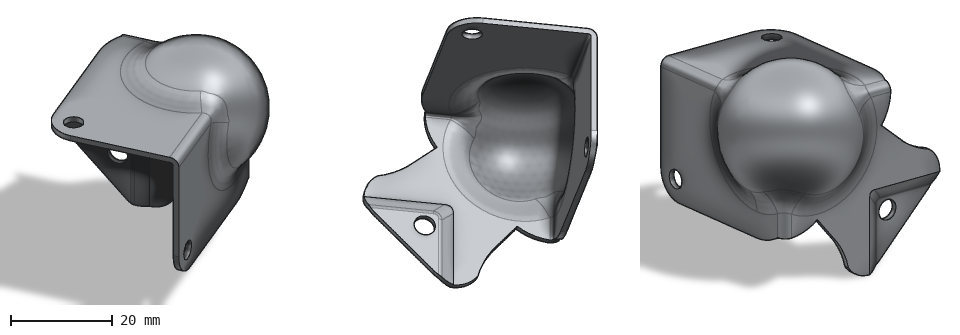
import cadquery as cq
import math

sheet = 1.2
ball_radius = 14.45
wall_face = 8.5
bend_radius = 1.95
flare_radius = 7.15

wall_front = -30.52
wall_edge = -20.5
wall_corner = 6.0
wall_hole_radius = 2.0
wall_hole_front = -25.8
wall_hole_edge = -15.7
bend_start = wall_face - bend_radius
shoulder_edge = -18.45
shoulder_middle = (-20.0, 3.25)

neck_edge = -16.1
neck_bulge = (-17.75, 3.15)
neck_end = (-20.6, -3.8)
neck_middle = (-24.1, -6.3)
foot_radius = 6.0
foot_center = (-24.75, -12.8)
foot_neck_angle = math.radians(124)
foot_cut_angle = math.radians(225)

tab_corner = -12.8
tab_step = 1.67
tab_slope = 30.0
tab_ridge_radius = 3.6
tab_bend_radius = 1.5
tab_hole_radius = 2.13
tab_hole_place = -18.9

reach = 49.75
cap_limit = 18.1

side_plane = cq.Plane(origin=(bend_start, 0, 0), xDir=(0, 0, 1), normal=(-1, 0, 0))
back_plane = cq.Plane(origin=(0, bend_start, 0), xDir=(1, 0, 0), normal=(0, -1, 0))
top_plane = cq.Plane(origin=(0, 0, bend_start), xDir=(1, 0, 0), normal=(0, 0, 1))
depth = cap_limit - bend_start


def corner_with_ball(inset):
    """Rounded box corner blended into the ball, with every face moved inward by inset."""
    corner = cq.Workplane("XY").box(reach, reach, reach, centered=False)
    corner = corner.translate((wall_face - inset - reach,) * 3)
    corner = corner.edges("(>X and >Y) or (>X and >Z) or (>Y and >Z)").fillet(bend_radius - inset)
    ball = cq.Workplane("XY").sphere(ball_radius - inset)
    joined = corner.union(ball)
    tolerance = 0.005
    samples = (0, 0.3, 0.5, 0.7, 1)
    seam = [
        edge
        for edge in joined.edges().vals()
        if all(
            abs(edge.positionAt(t).Length - (ball_radius - inset)) < tolerance
            for t in samples
        )
        and len(edge.ancestors(joined.val(), "Face").Faces()) == 2
    ]
    return joined.newObject(seam).fillet(flare_radius + inset)


def wall_outline(plane):
    """Top or side wall region; the first plane axis runs to the free edge, the second along Y."""
    return (
        cq.Workplane(plane)
        .moveTo(cap_limit, wall_front)
        .lineTo(wall_edge + wall_corner, wall_front)
        .radiusArc((wall_edge, wall_front + wall_corner), wall_corner)
        .lineTo(wall_edge, 0)
        .threePointArc(shoulder_middle, (shoulder_edge, bend_start))
        .lineTo(shoulder_edge, cap_limit)
        .lineTo(cap_limit, cap_limit)
        .close()
    )


def swapped(point):
    """Mirror image of a point across the diagonal X = Z."""
    return point[1], point[0]


def on_foot(angle):
    """Point on the rounded end of the foot."""
    return (
        foot_center[0] + foot_radius * math.cos(angle),
        foot_center[1] + foot_radius * math.sin(angle),
    )


def back_outline():
    """Back wall region, symmetric about the diagonal X = Z."""
    foot_start = on_foot(foot_neck_angle)
    foot_end = on_foot(foot_cut_angle)
    foot_tip = on_foot((foot_neck_angle + foot_cut_angle) / 2)
    return (
        cq.Workplane(back_plane)
        .moveTo(cap_limit, cap_limit)
        .lineTo(shoulder_edge, cap_limit)
        .lineTo(shoulder_edge, bend_start)
        .threePointArc(neck_bulge, (neck_edge, 0))
        .lineTo(*neck_end)
        .threePointArc(neck_middle, foot_start)
        .threePointArc(foot_tip, foot_end)
        .lineTo(*swapped(foot_end))
        .threePointArc(swapped(foot_tip), swapped(foot_start))
        .threePointArc(swapped(neck_middle), swapped(neck_end))
        .lineTo(0, neck_edge)
        .threePointArc(swapped(neck_bulge), (bend_start, shoulder_edge))
        .lineTo(cap_limit, shoulder_edge)
        .close()
    )


def joggle(base_y, corner, ridge_radius, edge_radius):
    """Raised block with sloped sides, growing from base_y toward -Y."""
    block = (
        cq.Workplane("XZ", origin=(0, base_y, 0))
        .center(corner - reach / 2, corner - reach / 2)
        .rect(reach, reach)
        .extrude(tab_step, taper=90 - tab_slope)
    )
    run = tab_step / math.tan(math.radians(tab_slope))
    ridge_place = (corner - run / 2, base_y - tab_step / 2, corner - run / 2)
    block = block.edges(cq.NearestToPointSelector(ridge_place)).fillet(ridge_radius)
    return block.faces("<Y").edges(">X or >Z").fillet(edge_radius)


shell = corner_with_ball(0).cut(corner_with_ball(sheet))
region = wall_outline(top_plane).extrude(depth)
region = region.union(wall_outline(side_plane).extrude(-depth)).union(back_outline().extrude(-depth))
body = shell.intersect(region)

slope_shift = sheet * math.tan(math.radians(tab_slope / 2))
raised = joggle(wall_face - sheet, tab_corner, tab_ridge_radius, tab_bend_radius)
hollow = joggle(
    wall_face, tab_corner - slope_shift, tab_ridge_radius - sheet, tab_bend_radius - sheet
)
tab_region = back_outline().extrude(reach, both=True)
body = body.union(raised.intersect(tab_region)).cut(hollow)

top_hole = (
    cq.Workplane(top_plane).center(wall_hole_edge, wall_hole_front)
    .circle(wall_hole_radius).extrude(depth)
)
side_hole = (
    cq.Workplane(side_plane).center(wall_hole_edge, wall_hole_front)
    .circle(wall_hole_radius).extrude(-depth)
)
tab_hole = (
    cq.Workplane(back_plane).center(tab_hole_place, tab_hole_place)
    .circle(tab_hole_radius).extrude(depth, both=True)
)
result = body.cut(top_hole).cut(side_hole).cut(tab_hole)